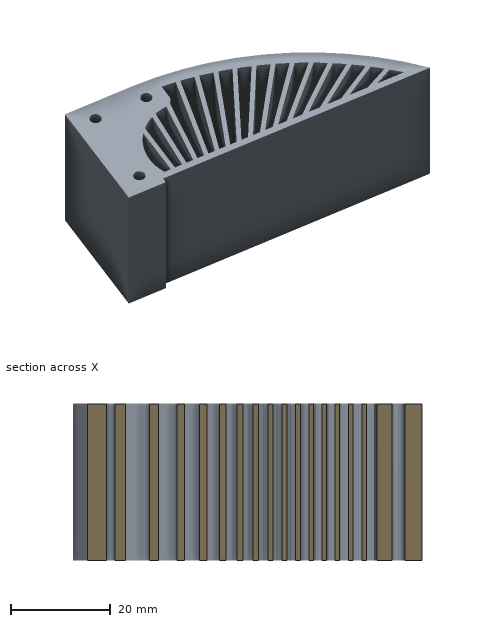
import cadquery as cq
import math

LENGTH = 69.9
WIDTH = 26.0
HEIGHT = 31.4

STRAIGHT_SIDE = 15.2
FIN_WIDTH = 24.9
BASE_STEP = 8.5
CURVED_WALL = 2.8
FLAT_WALL = 1.5

CURVE_RISE = LENGTH - STRAIGHT_SIDE
OUTER_RADIUS = (FIN_WIDTH**2 + CURVE_RISE**2) / (2 * FIN_WIDTH)
INNER_RADIUS = OUTER_RADIUS - CURVED_WALL
CURVE_CENTER = (OUTER_RADIUS, STRAIGHT_SIDE)
WALL_X = FIN_WIDTH - FLAT_WALL

HOLE_DIAMETER = 2.45
HOLE_INSET = 4.05
HOLE_CENTERS = [(HOLE_INSET, 4.75), (21.9, 4.75), (HOLE_INSET, 16.4)]

PAD_LENGTH = 20.55
SCOOP_CENTER = (19.0, 19.65)
SCOOP_RADIUS = 10.9
PAD_CORNER_RADIUS = 2.1

RIB_COUNT = 15
RIB_THICKNESS = 1.0
RIB_TILT_STEP = 4.5
RIB_PIVOT = (57.5, 29.0)
RIB_PIVOT_OFFSET = 17.4
RIB_LENGTH = 139.8


def point_on_curve(radius, degrees):
    """Point on an arc about the curve centre; angles rise from the -X direction."""
    angle = math.radians(degrees)
    return (
        CURVE_CENTER[0] - radius * math.cos(angle),
        CURVE_CENTER[1] + radius * math.sin(angle),
    )


def make_body():
    """Solid fin with its wider square base."""
    tip_angle = math.degrees(math.asin(CURVE_RISE / OUTER_RADIUS))
    return (
        cq.Workplane("XY")
        .lineTo(WIDTH, 0)
        .lineTo(WIDTH, BASE_STEP)
        .lineTo(FIN_WIDTH, BASE_STEP)
        .lineTo(FIN_WIDTH, LENGTH)
        .threePointArc(point_on_curve(OUTER_RADIUS, tip_angle / 2), (0, STRAIGHT_SIDE))
        .close()
        .extrude(HEIGHT)
    )


def make_pad():
    """Corner pad with a rounded nose where its end meets the scoop."""
    scoop = cq.Workplane("XY").center(*SCOOP_CENTER).circle(SCOOP_RADIUS).extrude(HEIGHT)
    pad = cq.Workplane("XY").rect(WIDTH, PAD_LENGTH, centered=False).extrude(HEIGHT).cut(scoop)
    nose_x = SCOOP_CENTER[0] - math.sqrt(SCOOP_RADIUS**2 - (PAD_LENGTH - SCOOP_CENTER[1])**2)
    nose = cq.selectors.NearestToPointSelector((nose_x, PAD_LENGTH, HEIGHT / 2))
    return pad.edges("|Z").edges(nose).fillet(PAD_CORNER_RADIUS)


def make_ribs():
    """Straight ribs fanning out from the curved wall to the flat wall."""
    ribs = cq.Workplane("XY")
    for index in range(RIB_COUNT):
        rib = (
            cq.Workplane("XY")
            .center(*RIB_PIVOT)
            .transformed(rotate=(0, 0, -index * RIB_TILT_STEP))
            .center(0, -RIB_PIVOT_OFFSET)
            .rect(RIB_LENGTH, RIB_THICKNESS)
            .extrude(HEIGHT)
        )
        ribs = ribs.add(rib)
    return ribs.combine()


def make_windows():
    """Openings between the walls, left over around the pad and the ribs."""
    interior = cq.Workplane("XY").center(*CURVE_CENTER).circle(INNER_RADIUS).extrude(HEIGHT)
    bounds = cq.Workplane("XY").rect(WALL_X, LENGTH, centered=False).extrude(HEIGHT)
    return interior.intersect(bounds).cut(make_pad()).cut(make_ribs())


holes = cq.Workplane("XY").pushPoints(HOLE_CENTERS).circle(HOLE_DIAMETER / 2).extrude(HEIGHT)

result = make_body().cut(make_windows()).cut(holes)